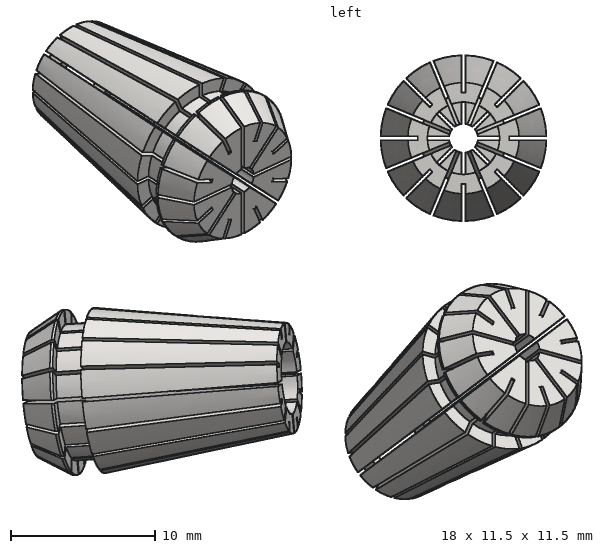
import cadquery as cq
import math

length = 18.0
max_radius = 5.75
taper_length = 13.5
taper_angle = 8.0
neck_end = 15.5
neck_radius = 4.75
rim_end = 15.7
head_angle = 30.0

bore_radius = 1.0
relief_radius = 2.5
relief_depth = 8.0

slot_width = 0.25
slots_per_end = 8
front_web = 1.2
rear_web_radius = 3.0
cutter_radius = 25.0
cutter_x = 6.0

nose_radius = max_radius - taper_length * math.tan(math.radians(taper_angle))
tail_radius = max_radius - (length - rim_end) * math.tan(math.radians(head_angle))
web_radius = (relief_radius + nose_radius) / 2
slot_pitch = 360.0 / slots_per_end
cut_reach = max_radius + 1.0
overrun = 1.0
cutter_sweep = math.asin((length + overrun - cutter_x) / cutter_radius)
cutter_height = rear_web_radius + math.sqrt(cutter_radius**2 - (length - cutter_x) ** 2)


def make_body():
    """Revolve the collet profile, bore included, about the X axis."""
    profile = [
        (0, relief_radius),
        (0, nose_radius),
        (taper_length, max_radius),
        (taper_length, neck_radius),
        (neck_end, neck_radius),
        (neck_end, max_radius),
        (rim_end, max_radius),
        (length, tail_radius),
        (length, bore_radius),
        (relief_depth, bore_radius),
        (relief_depth, relief_radius),
    ]
    return cq.Workplane("XY").polyline(profile).close().revolve(360, (0, 0, 0), (1, 0, 0))


def slot_plate(outline):
    """Plate of slot width from a closed (x, radius) outline, centred on the XY plane."""
    return outline.extrude(slot_width / 2, both=True)


def rear_slot():
    """Slot open at the rear, with a short ring web left around the bore at the nose."""
    outline = (
        cq.Workplane("XY")
        .moveTo(-overrun, web_radius)
        .lineTo(front_web, web_radius)
        .lineTo(front_web, 0)
        .lineTo(length + overrun, 0)
        .lineTo(length + overrun, cut_reach)
        .lineTo(-overrun, cut_reach)
        .close()
    )
    return slot_plate(outline)


def cutter_point(angle):
    """Point on the cutter rim, at an angle in radians from the bottom of the disc."""
    x = cutter_x + cutter_radius * math.sin(angle)
    radius = cutter_height - cutter_radius * math.cos(angle)
    return (x, radius)


def front_slot():
    """Slot open at the nose, its floor rising along the cutter disc's arc at the rear."""
    outline = (
        cq.Workplane("XY")
        .moveTo(-overrun, 0)
        .lineTo(*cutter_point(0))
        .threePointArc(cutter_point(cutter_sweep / 2), cutter_point(cutter_sweep))
        .lineTo(length + overrun, cut_reach)
        .lineTo(-overrun, cut_reach)
        .close()
    )
    return slot_plate(outline)


result = make_body()
for index in range(slots_per_end):
    angle = index * slot_pitch
    result = result.cut(rear_slot().rotate((0, 0, 0), (1, 0, 0), angle))
    result = result.cut(front_slot().rotate((0, 0, 0), (1, 0, 0), angle + slot_pitch / 2))